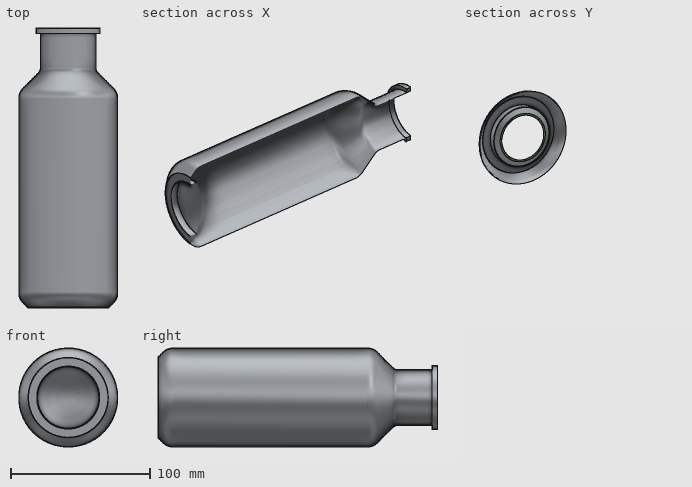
import cadquery as cq
import math

length = 201.0
wall = 0.6

body_radius = 71.2 / 2
shoulder_round = 10.0
shoulder_end = 150.5
foot_chamfer = 3.8

neck_radius = 40.0 / 2
neck_round = 5.0

lip_radius = 46.0 / 2
lip_height = 4.0

punt_radius = 44.0 / 2
punt_wall_depth = 5.6
punt_dome_depth = 4.8

diagonal = math.sqrt(0.5)

round_center_radius = body_radius - shoulder_round
neck_center_radius = neck_radius + neck_round
foot_center = foot_chamfer + shoulder_round * diagonal
cone_rise = neck_center_radius - round_center_radius
neck_center = shoulder_end + (shoulder_round + neck_round) / diagonal - cone_rise


def arc_point(radius, height, size, degrees):
    """Point at an angle on a circle in the radius-height half plane."""
    angle = math.radians(degrees)
    return (radius + size * math.cos(angle), height + size * math.sin(angle))


def revolve(profile):
    return profile.close().revolve(360, (0, 0), (0, 1))


def bottle_body(inset):
    """Solid body and neck, with every face moved inward by inset."""
    outer_round = shoulder_round - inset
    inner_round = neck_round + inset
    foot_cone_start = arc_point(round_center_radius, foot_center, outer_round, -45)
    foot_radius = foot_cone_start[0] - (foot_cone_start[1] - inset)
    return revolve(
        cq.Workplane("XY")
        .moveTo(0, inset)
        .lineTo(foot_radius, inset)
        .lineTo(*foot_cone_start)
        .threePointArc(
            arc_point(round_center_radius, foot_center, outer_round, -22.5),
            arc_point(round_center_radius, foot_center, outer_round, 0),
        )
        .lineTo(body_radius - inset, shoulder_end)
        .threePointArc(
            arc_point(round_center_radius, shoulder_end, outer_round, 22.5),
            arc_point(round_center_radius, shoulder_end, outer_round, 45),
        )
        .lineTo(*arc_point(neck_center_radius, neck_center, inner_round, 225))
        .threePointArc(
            arc_point(neck_center_radius, neck_center, inner_round, 202.5),
            arc_point(neck_center_radius, neck_center, inner_round, 180),
        )
        .lineTo(neck_radius - inset, length)
        .lineTo(0, length)
    )


def punt(growth):
    """Domed recess of the base, with its wall and dome moved outward by growth."""
    dome_radius = (punt_radius**2 + punt_dome_depth**2) / (2 * punt_dome_depth)
    dome_center = punt_wall_depth + punt_dome_depth - dome_radius
    radius = punt_radius + growth
    size = dome_radius + growth
    edge_angle = math.degrees(math.acos(radius / size))
    return revolve(
        cq.Workplane("XY")
        .lineTo(radius, 0)
        .lineTo(*arc_point(0, dome_center, size, edge_angle))
        .threePointArc(
            arc_point(0, dome_center, size, (edge_angle + 90) / 2),
            arc_point(0, dome_center, size, 90),
        )
    )


def lip():
    """Flange around the mouth, open to the bore of the neck."""
    bore_radius = neck_radius - wall
    return (
        cq.Workplane("XZ", origin=(0, length, 0))
        .circle(lip_radius)
        .circle(bore_radius)
        .extrude(lip_height)
    )


cavity = bottle_body(wall).cut(punt(wall))
shell = bottle_body(0).cut(punt(0)).cut(cavity)
result = shell.union(lip())